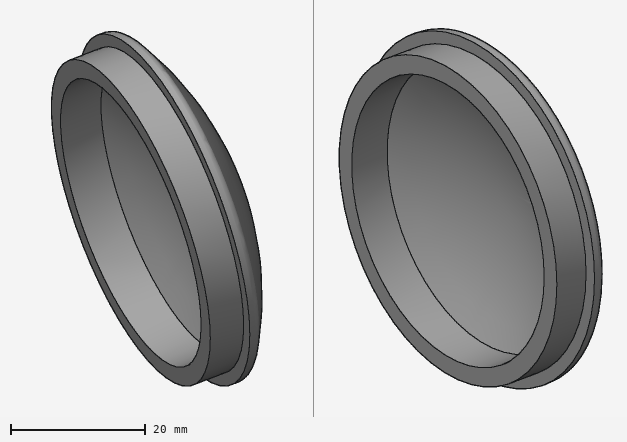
import cadquery as cq
import math

flange_radius = 27.85
spigot_radius = 25.85
wall = 3.0
spigot_length = 5.55
total_height = 16.0
dome_radius = 48.0
rim_fillet = 1.0

dome_center = total_height - dome_radius
bore_radius = spigot_radius - wall
cavity_radius = dome_radius - wall


def height_on_dome(sphere_radius, distance):
    """Height of a dome surface at a given distance from the axis."""
    return dome_center + math.sqrt(sphere_radius**2 - distance**2)


def revolve_under_dome(base, sphere_radius, side_radius):
    """Round body with straight sides from base up to a spherical top."""
    half_way = side_radius / 2
    profile = (
        cq.Workplane("XY")
        .moveTo(0, base)
        .lineTo(side_radius, base)
        .lineTo(side_radius, height_on_dome(sphere_radius, side_radius))
        .threePointArc(
            (half_way, height_on_dome(sphere_radius, half_way)),
            (0, dome_center + sphere_radius),
        )
        .close()
    )
    return profile.revolve(360, (0, 0), (0, 1))


cap = revolve_under_dome(spigot_length, dome_radius, flange_radius)
cap = cap.edges("%CIRCLE").edges(
    cq.selectors.BoxSelector(
        (-flange_radius, spigot_length + rim_fillet / 2, -flange_radius),
        (flange_radius, total_height / 2, flange_radius),
    )
).fillet(rim_fillet)

spigot = cq.Workplane("XZ").circle(spigot_radius).extrude(-spigot_length)

cavity = revolve_under_dome(0, cavity_radius, bore_radius)

result = cap.union(spigot).cut(cavity)